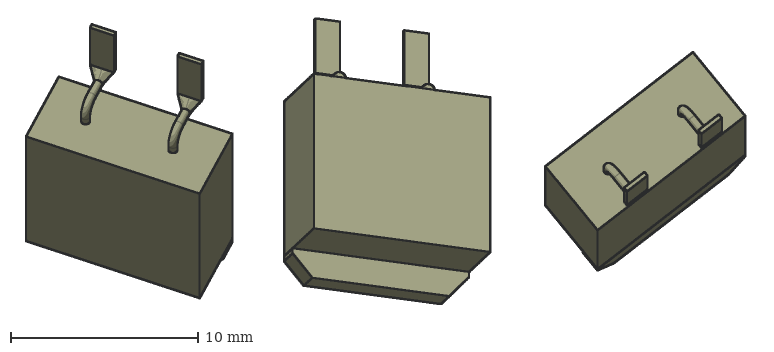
import cadquery as cq

housing_width = 10.1
housing_depth = 4.5
housing_height = 8.85

tab_depth = 1.3
tab_height = 1.54
tab_shoulder = 0.3
tab_chamfer_width = 1.12

lead_pitch = 5.08
wire_diameter = 0.5
wire_stub = 0.4
bend_radius = 0.8
wire_end_y = -0.5
blade_width = 1.4
blade_thickness = 0.26
blade_length = 3.12
lead_rise = 5.0

wire_radius = wire_diameter / 2
wire_root_y = -housing_depth / 2
wire_axis_z = housing_height + wire_stub + bend_radius
bend_end_y = wire_root_y + bend_radius
blade_bottom_z = housing_height + lead_rise - blade_length


def make_block():
    return cq.Workplane("XY").box(
        housing_width, housing_depth, housing_height, centered=(True, False, False)
    ).translate((0, -housing_depth, 0))


def make_wire(x):
    """Round wire: rises from the housing, turns a quarter circle and runs rearward."""
    stub = (
        cq.Workplane("XY", origin=(x, wire_root_y, housing_height))
        .circle(wire_radius)
        .extrude(wire_stub)
    )
    bend = (
        cq.Workplane("XY", origin=(x, wire_root_y, housing_height + wire_stub))
        .circle(wire_radius)
        .revolve(90, (0, bend_radius, 0), (-1, bend_radius, 0))
    )
    run = (
        cq.Workplane("XZ", origin=(x, wire_end_y, wire_axis_z))
        .circle(wire_radius)
        .extrude(wire_end_y - bend_end_y)
    )
    return stub.union(bend).union(run)


def make_flare(x):
    """Transition from the round wire end to the rectangular foot of the blade."""
    wire_end = cq.Wire.makeCircle(wire_radius, cq.Vector(x, wire_end_y, wire_axis_z), cq.Vector(0, 1, 0))
    blade_foot = (
        cq.Workplane("XY", origin=(x, blade_thickness / 2, blade_bottom_z))
        .rect(blade_width, blade_thickness)
        .wires()
        .val()
    )
    return cq.Workplane(cq.Solid.makeLoft([wire_end, blade_foot], True))


def make_blade(x):
    return cq.Workplane("XY", origin=(x, 0, blade_bottom_z)).box(
        blade_width, blade_thickness, blade_length, centered=(True, False, False)
    )


def make_housing():
    """Housing block and its two leads as one solid."""
    housing = make_block()
    for x in (-lead_pitch / 2, lead_pitch / 2):
        lead = make_wire(x).union(make_flare(x)).union(make_blade(x))
        housing = housing.union(lead)
    return housing


def make_tab():
    """Plate as wide as the housing, tapering to a narrower lower edge."""
    half_top = housing_width / 2
    half_bottom = half_top - tab_chamfer_width
    return (
        cq.Workplane("XZ")
        .moveTo(-half_top, 0)
        .lineTo(half_top, 0)
        .lineTo(half_top, -tab_shoulder)
        .lineTo(half_bottom, -tab_height)
        .lineTo(-half_bottom, -tab_height)
        .lineTo(-half_top, -tab_shoulder)
        .close()
        .extrude(tab_depth)
    )


housing = make_housing()
tab = make_tab()
result = cq.Compound.makeCompound([housing.solids().val(), tab.val()])